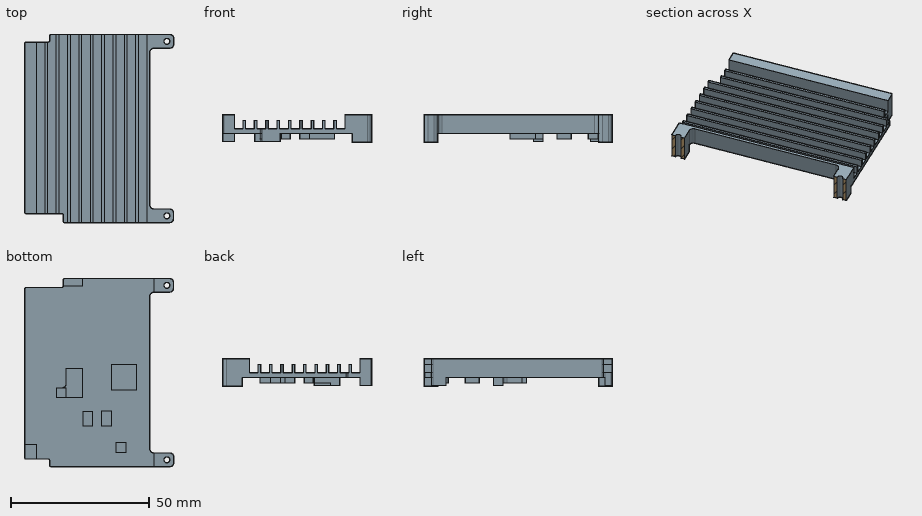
import cadquery as cq


length_x = 53.85
width_y = 68.0
height_z = 10.0

plate_bottom = 3.2
plate_top = 5.0
fin_top = 8.0
foot_bottom = 0.25
pad_bottom = 1.2

rail_edge_x = 45.2
front_step_x = 13.9
front_step_y = 3.25
rear_step_x = 9.0
rear_step_depth = 2.75
rear_step_y = width_y - rear_step_depth
step_radius = 0.5

tab_width = 5.0
front_tab_setback = 0.1
front_tab_end_x = length_x - front_tab_setback
tab_corner_radius = 1.4
tab_root_radius = 1.5
tab_foot_start_x = rail_edge_x + tab_root_radius
screw_diameter = 2.05
screw_x = length_x - tab_width / 2
screw_edge_distance = tab_width / 2

left_wall_x = 4.3
right_wall_x = 44.1
fin_count = 9
fin_thickness = 1.0
fin_pitch = 4.1
first_fin_x = 7.3

rear_foot_start_y = 60.0
front_foot_end_x = 20.85
front_foot_depth = front_step_y - step_radius
middle_foot_x = 11.5
middle_foot_y = 39.5
middle_foot_size = 3.5

blended_pad_x = 15.0
blended_pad_end_x = front_foot_end_x
blended_pad_y = 32.6
blend_radius = 1.5
pads = [
    (blended_pad_x, blended_pad_end_x, blended_pad_y, middle_foot_y + middle_foot_size),
    (21.1, 24.4, 48.1, 53.2),
    (27.8, 31.4, 47.9, 53.2),
    (31.3, 40.4, 31.0, 40.2),
    (33.0, 36.6, 59.2, 62.8),
]


def block(x_start, x_end, y_start, y_end, z_start, z_end):
    """Axis-aligned box between two opposite corners."""
    return cq.Workplane("XY").box(
        x_end - x_start, y_end - y_start, z_end - z_start, centered=False
    ).translate((x_start, y_start, z_start))


def fillet_corners(body, points, radius):
    """Round the vertical edges nearest to the given XY points."""
    for x, y in points:
        edge = body.edges("|Z").edges(cq.selectors.NearestToPointSelector((x, y, height_z / 2)))
        body = edge.fillet(radius)
    return body


def make_outline_body():
    """Full-height block with the stepped -X corners and the two tabs."""
    rear_tab_y = width_y - tab_width
    step_corners = [
        (0, front_step_y),
        (front_step_x, front_step_y),
        (front_step_x, 0),
        (rear_step_x, width_y),
        (rear_step_x, rear_step_y),
        (0, rear_step_y),
    ]
    tab_corners = [
        (front_tab_end_x, 0),
        (front_tab_end_x, tab_width),
        (length_x, rear_tab_y),
        (length_x, width_y),
    ]
    tab_roots = [(rail_edge_x, tab_width), (rail_edge_x, rear_tab_y)]
    outline = [
        *step_corners[:3],
        *tab_corners[:2],
        *tab_roots,
        *tab_corners[2:],
        *step_corners[3:],
    ]
    body = cq.Workplane("XY").polyline(outline).close().extrude(height_z)
    body = fillet_corners(body, step_corners, step_radius)
    body = fillet_corners(body, tab_corners, tab_corner_radius)
    return fillet_corners(body, tab_roots, tab_root_radius)


def make_fins():
    """Evenly pitched fins between the two side walls."""
    fins = cq.Workplane("XY")
    for index in range(fin_count):
        x = first_fin_x + index * fin_pitch
        fins = fins.add(block(x, x + fin_thickness, 0, width_y, plate_top, fin_top))
    return fins.combine()


def make_feet():
    """Blocks below the plate; the outer ones are later trimmed to the outline."""
    feet = [
        block(0, left_wall_x, rear_foot_start_y, rear_step_y, foot_bottom, plate_bottom),
        block(front_step_x, front_foot_end_x, 0, front_foot_depth, foot_bottom, plate_bottom),
        block(
            middle_foot_x, middle_foot_x + middle_foot_size,
            middle_foot_y, middle_foot_y + middle_foot_size,
            foot_bottom, plate_bottom,
        ),
    ]
    for y in (0, width_y - tab_width):
        feet.append(block(tab_foot_start_x, length_x, y, y + tab_width, 0, plate_bottom))
    return feet


def make_pads():
    """Flat contact pads below the plate."""
    return [block(*pad, pad_bottom, plate_bottom) for pad in pads]


def make_pad_blend():
    """Concave round joining the middle foot to the pad beside it."""
    return (
        cq.Workplane("XY", origin=(0, 0, pad_bottom))
        .moveTo(blended_pad_x, middle_foot_y)
        .lineTo(blended_pad_x - blend_radius, middle_foot_y)
        .radiusArc((blended_pad_x, middle_foot_y - blend_radius), blend_radius)
        .close()
        .extrude(plate_bottom - pad_bottom)
    )


def make_heat_sink():
    """Plate, walls, fins, feet and pads trimmed to the outline, with screw holes."""
    material = block(0, length_x, 0, width_y, plate_bottom, plate_top)
    material = material.union(block(0, left_wall_x, 0, width_y, plate_bottom, height_z))
    material = material.union(block(right_wall_x, length_x, 0, width_y, plate_bottom, height_z))
    material = material.union(make_fins())
    for lump in make_feet() + make_pads():
        material = material.union(lump)
    material = material.union(make_pad_blend())
    body = material.intersect(make_outline_body())
    screw_points = [
        (screw_x, screw_edge_distance),
        (screw_x, width_y - screw_edge_distance),
    ]
    screw_holes = (
        cq.Workplane("XY").pushPoints(screw_points).circle(screw_diameter / 2).extrude(height_z)
    )
    return body.cut(screw_holes)


result = make_heat_sink()